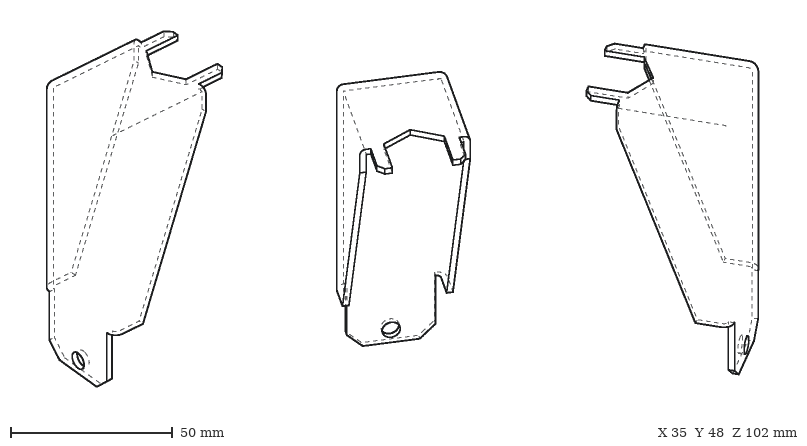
import cadquery as cq
import math

width = 35.0
depth = 48.0
height = 102.0
sheet = 2.0
bend_radius = 3.5
rim_radius = 2.0
plate_width = width - 2 * bend_radius

wall_depth = 36.9
wall_bottom = 23.6
wall_bottom_depth = 11.6
wall_straight_drop = 8.8

tongue_chamfer = 5.0
hole_diameter = 5.7
hole_height = 4.9

fork_gap = 19.2
fork_slot_depth = 12.6
vee_angle = math.radians(30)
ear_chamfer = 2.0

top_bend_z = height - bend_radius


def box(size_x, y_min, y_max, z_min, z_max):
    """Box centred on X, between the given Y and Z limits."""
    block = cq.Workplane("XY", origin=(0, y_min, z_min))
    return block.box(size_x, y_max - y_min, z_max - z_min, centered=(True, False, False))


def hood_shell():
    """Front, top and side walls, open at the rear and bottom."""
    outer = box(width, 0, wall_depth, wall_bottom, height)
    outer = outer.edges("(|Z and <Y) or (|X and <Y and >Z)").fillet(bend_radius)
    outer = outer.edges("|Y and >Z").fillet(rim_radius)
    inner = box(width - 2 * sheet, sheet, wall_depth, wall_bottom, height - sheet)
    inner = inner.edges("(|Z and <Y) or (|X and <Y and >Z)").fillet(bend_radius - sheet)
    return outer.cut(inner)


def side_profile():
    """Solid across the full width whose outline trims the sloping side walls."""
    return (
        cq.Workplane("YZ")
        .polyline(
            [
                (0, wall_bottom),
                (wall_bottom_depth, wall_bottom),
                (wall_depth, height - wall_straight_drop),
                (wall_depth, height),
                (0, height),
            ]
        )
        .close()
        .extrude(width / 2, both=True)
    )


def front_tongue():
    """Flat front plate with chamfered lower corners and a mounting hole."""
    plate = box(plate_width, 0, sheet, 0, top_bend_z)
    plate = plate.edges("|Y and <Z").chamfer(tongue_chamfer)
    hole = (
        cq.Workplane("XZ")
        .center(0, hole_height)
        .circle(hole_diameter / 2)
        .extrude(-sheet)
    )
    return plate.cut(hole)


def top_plate():
    """Flat top plate reaching past the side walls to the ear tips."""
    plate = box(plate_width, bend_radius, depth, height - sheet, height)
    return plate.edges("|Z and >Y").chamfer(ear_chamfer)


def fork_slot():
    """Slot with a V-shaped floor that splits the top plate into two ears."""
    half_gap = fork_gap / 2
    shoulder_y = depth - fork_slot_depth
    tip_y = shoulder_y - half_gap * math.tan(vee_angle)
    return (
        cq.Workplane("XY", origin=(0, 0, height - sheet))
        .polyline(
            [
                (-half_gap, depth),
                (-half_gap, shoulder_y),
                (0, tip_y),
                (half_gap, shoulder_y),
                (half_gap, depth),
            ]
        )
        .close()
        .extrude(sheet)
    )


hood = hood_shell().intersect(side_profile())
result = hood.union(front_tongue()).union(top_plate()).cut(fork_slot())